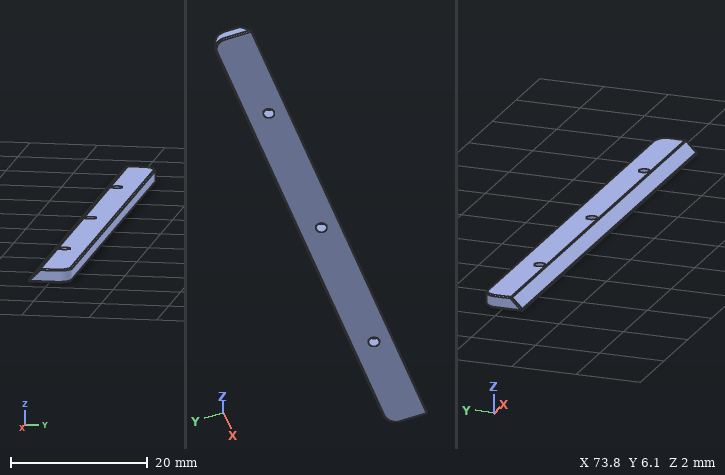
import cadquery as cq

length = 73.8
width = 6.1
height = 2.0

lip_height = 0.33
slope_run = height - lip_height

shoulder_bevel = 0.1

corner_radius = 2.0

edge_bevel = 0.2

hole_diameter = 1.6
hole_pitch = 22.0
hole_count = 3
hole_from_front = 2.7


def make_bar():
    """Bar with its sloped side section extruded along X, centred on X = 0."""
    section = (
        cq.Workplane("YZ", origin=(-length / 2, 0, 0))
        .moveTo(0, 0)
        .lineTo(width, 0)
        .lineTo(width, height)
        .lineTo(slope_run, height)
        .lineTo(0, lip_height)
        .close()
    )
    return section.extrude(length)


def bevel_shoulder(bar):
    """Bevel the long edge where the slope meets the top face."""
    return bar.faces(">Z").edges("<Y").chamfer(shoulder_bevel)


def round_back_corners(bar):
    """Round the two upright edges at the back of the bar."""
    return bar.faces(">Y").edges("|Z").fillet(corner_radius)


def bevel_edges(bar):
    """Bevel around both ends; the bevel runs on round the corners and along the back."""
    end_edges = bar.faces("<X or >X").edges("not (|Z and >Y)")
    return end_edges.chamfer(edge_bevel)


def drill_holes(bar):
    """Cut the evenly spaced row of vertical through holes."""
    holes = (
        cq.Workplane("XY", origin=(0, hole_from_front, 0))
        .rarray(hole_pitch, 0.75, hole_count, 1)
        .circle(hole_diameter / 2)
        .extrude(height)
    )
    return bar.cut(holes)


bar = bevel_shoulder(make_bar())
bar = round_back_corners(bar)
bar = bevel_edges(bar)
result = drill_holes(bar)